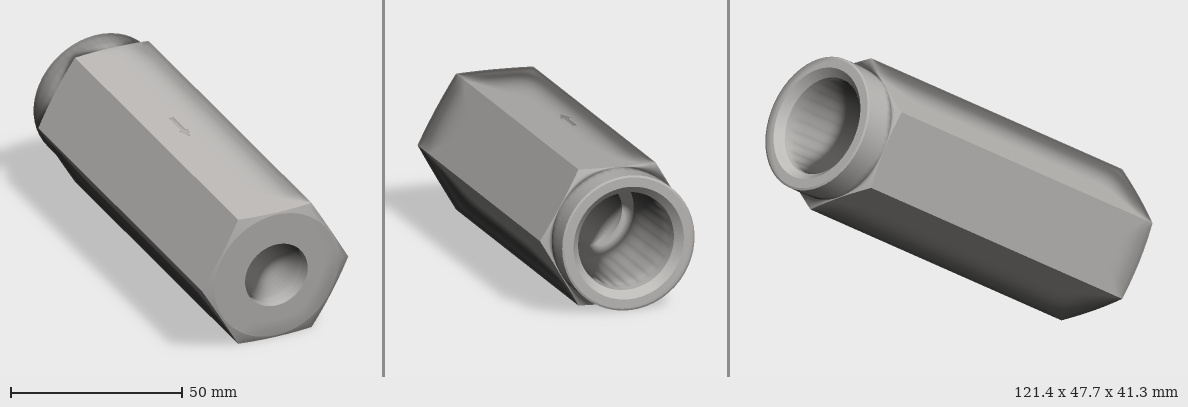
import cadquery as cq
import math

total_length = 121.4
across_flats = 41.3
collar_length = 9.6
collar_diameter = 40.9
collar_chamfer_length = 0.2
collar_face_diameter = 39.7

bevel_angle = 15.0
end_face_diameter = 40.1

through_diameter = 20.3
socket_diameter = 29.6
socket_floor_diameter = 27.5
socket_taper = 1 / 16
socket_length = (socket_diameter - socket_floor_diameter) / socket_taper
mouth_diameter = 34.1
mouth_depth = 2.4
socket_floor_x = mouth_depth + socket_length

arrow_tail_x = 55.7
arrow_neck_x = 64.1
arrow_tip_x = 68.5
arrow_center_y = -2.5
arrow_shaft_width = 1.2
arrow_head_width = 3.2
engraving_depth = 0.1

corner_radius = across_flats / math.sqrt(3)
bevel_slope = math.tan(math.radians(bevel_angle))


def revolve_about_x(points):
    """Solid of revolution from (x, radius) points, turned about the X axis."""
    return cq.Workplane("XY").polyline(points).close().revolve(360, (0, 0, 0), (1, 0, 0))


def hexagonal_body():
    """Hexagonal bar with flats up and down, its corners turned down at both ends."""
    bar = (
        cq.Workplane("YZ")
        .workplane(offset=collar_length)
        .polygon(6, 2 * corner_radius)
        .extrude(total_length - collar_length)
    )
    start_radius = across_flats / 2
    end_radius = end_face_diameter / 2
    envelope = revolve_about_x([
        (collar_length, 0),
        (collar_length, start_radius),
        (collar_length + (corner_radius - start_radius) * bevel_slope, corner_radius),
        (total_length - (corner_radius - end_radius) * bevel_slope, corner_radius),
        (total_length, end_radius),
        (total_length, 0),
    ])
    return bar.intersect(envelope)


def collar():
    """Round collar with a chamfered outer rim."""
    return revolve_about_x([
        (0, 0),
        (0, collar_face_diameter / 2),
        (collar_chamfer_length, collar_diameter / 2),
        (collar_length, collar_diameter / 2),
        (collar_length, 0),
    ])


def stepped_bore():
    """Conical mouth, tapered socket with a flat floor, and the through hole."""
    return revolve_about_x([
        (0, 0),
        (0, mouth_diameter / 2),
        (mouth_depth, socket_diameter / 2),
        (socket_floor_x, socket_floor_diameter / 2),
        (socket_floor_x, through_diameter / 2),
        (total_length, through_diameter / 2),
        (total_length, 0),
    ])


def flow_arrow():
    """Cutter for the arrow that points along +X on the top flat."""
    half_shaft = arrow_shaft_width / 2
    half_head = arrow_head_width / 2
    return (
        cq.Workplane("XY", origin=(0, arrow_center_y, across_flats / 2 - engraving_depth))
        .moveTo(arrow_tail_x, -half_shaft)
        .lineTo(arrow_neck_x, -half_shaft)
        .lineTo(arrow_neck_x, -half_head)
        .lineTo(arrow_tip_x, 0)
        .lineTo(arrow_neck_x, half_head)
        .lineTo(arrow_neck_x, half_shaft)
        .lineTo(arrow_tail_x, half_shaft)
        .close()
        .extrude(2 * engraving_depth)
    )


result = hexagonal_body().union(collar()).cut(stepped_bore()).cut(flow_arrow())